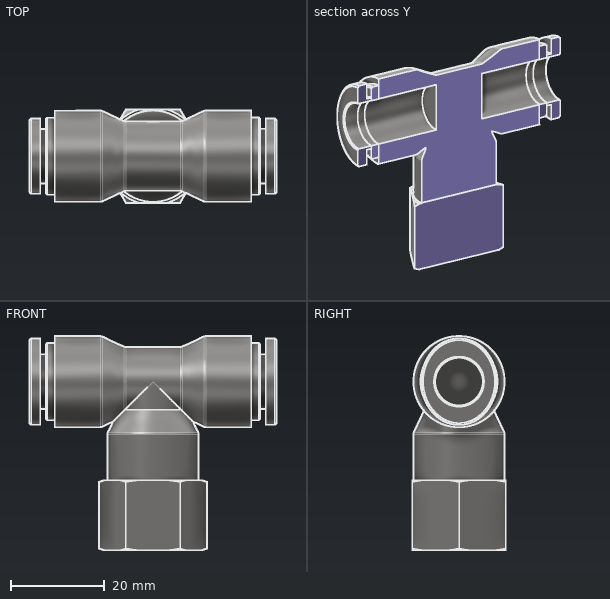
import cadquery as cq
import math

barrel_dia = 19.5
waist_dia = 14.8
waist_reach = 6.0
flare_reach = 11.0
flare_blend_radius = 1.0
edge_search_margin = 0.1
run_reach = 21.0
branch_reach = 21.0

nut_across_flats = 20.0
nut_height = 15.0
nut_chamfer_face_dia = 20.8
nut_chamfer_drop = 0.4

collar_dia = 16.5
collar_reach = 22.85
collar_chamfer = 0.3

sleeve_reach = 26.4
sleeve_dia = 11.7
sleeve_bore_dia = 10.2
sleeve_bore_chamfer = 0.25
flange_thickness = 2.4
flange_height = 18.5
flange_width = 16.1
flange_chamfer = 0.4

collar_bore_dia = 10.15
socket_dia = 10.2
socket_floor = waist_reach


def cylinder_along_x(diameter, start, end):
    """Solid cylinder on the X axis between two X positions."""
    return cq.Workplane("YZ").workplane(offset=start).circle(diameter / 2).extrude(end - start)


def edges_at_x(position):
    """Selector for the circular edges of an arm at one X position."""
    return cq.selectors.BoxSelector(
        (position - edge_search_margin, -barrel_dia, -barrel_dia),
        (position + edge_search_margin, barrel_dia, barrel_dia),
    )


def make_arm(reach, blend_waist):
    """Arm along +X: slim waist, flare, then the barrel up to the given reach.

    The outer flare corner is always blended, the corner at the waist only on request.
    """
    profile = [
        (0, 0),
        (0, waist_dia / 2),
        (waist_reach, waist_dia / 2),
        (flare_reach, barrel_dia / 2),
        (reach, barrel_dia / 2),
        (reach, 0),
    ]
    arm = cq.Workplane("XY").polyline(profile).close().revolve(360, (0, 0, 0), (1, 0, 0))
    blended_corners = edges_at_x(flare_reach)
    if blend_waist:
        blended_corners = blended_corners + edges_at_x(waist_reach)
    return arm.edges(blended_corners).fillet(flare_blend_radius)


def make_collar():
    """Ring seated on the +X end face of the run."""
    collar = cylinder_along_x(collar_dia, run_reach, collar_reach)
    collar = collar.faces(">X").chamfer(collar_chamfer)
    return collar.cut(cylinder_along_x(collar_bore_dia, run_reach, collar_reach))


def make_sleeve():
    """Release sleeve seated on the +X collar: oval flange on a short round neck."""
    flange_back = sleeve_reach - flange_thickness
    flange = (
        cq.Workplane("YZ")
        .workplane(offset=flange_back)
        .ellipse(flange_width / 2, flange_height / 2)
        .extrude(flange_thickness)
        .faces(">X")
        .chamfer(flange_chamfer)
    )
    neck = cylinder_along_x(sleeve_dia, collar_reach, flange_back)
    bore = cylinder_along_x(sleeve_bore_dia, collar_reach, sleeve_reach)
    sleeve = flange.union(neck).cut(bore)
    return sleeve.faces(">X").edges("%CIRCLE").chamfer(sleeve_bore_chamfer)


def make_socket():
    """Blind tube socket removed from the +X arm of the run."""
    return cylinder_along_x(socket_dia, socket_floor, run_reach)


def make_nut():
    """Hexagonal nut under the branch, corners chamfered at both ends."""
    across_corners = nut_across_flats / math.cos(math.radians(30))
    nut_bottom = -branch_reach - nut_height
    hexagon = (
        cq.Workplane("XY")
        .workplane(offset=nut_bottom)
        .polygon(6, across_corners)
        .extrude(nut_height)
    )
    chamfer_width = (across_corners - nut_chamfer_face_dia) / 2
    chamfered_blank = (
        cq.Workplane("XY")
        .workplane(offset=nut_bottom)
        .circle(across_corners / 2)
        .extrude(nut_height)
        .faces("<Z or >Z")
        .chamfer(nut_chamfer_drop, chamfer_width)
    )
    return hexagon.intersect(chamfered_blank)


def both_ends(shape):
    """A +X feature and its copy turned half a turn to the -X end."""
    return [shape.rotate((0, 0, 0), (0, 0, 1), turn) for turn in (0, 180)]


branch = make_arm(branch_reach, blend_waist=False).rotate((0, 0, 0), (0, 1, 0), 90)
tee = branch
for arm in both_ends(make_arm(run_reach, blend_waist=True)):
    tee = tee.union(arm)
for socket in both_ends(make_socket()):
    tee = tee.cut(socket)

nut = make_nut()
collars = both_ends(make_collar())
sleeves = both_ends(make_sleeve())

result = cq.Compound.makeCompound(
    [tee.val(), nut.val()]
    + [collar.val() for collar in collars]
    + [sleeve.val() for sleeve in sleeves]
)